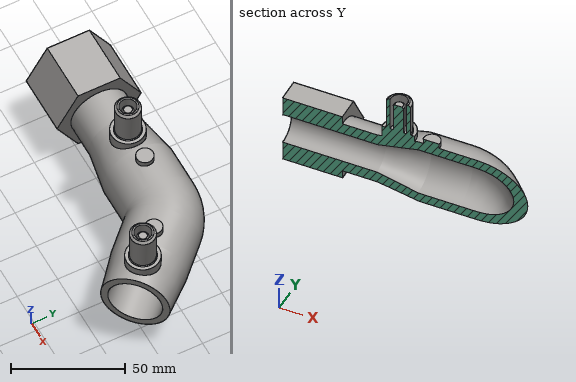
import cadquery as cq
import math

nut_length = 29
nut_across_flats = 36.0

neck_end = 45.8
taper_end = 65.7
straight_end = 85.7
neck_radius = 14.0
body_radius = 17.5
outlet_radius = 15.9
bend_radius = 18.1
bend_angle = 45
arm_segment = 20.0

inlet_bore_radius = 8.0
main_bore_radius = 12.5

flange_radius = 8.0
flange_top = 20.0
post_radius = 6.0
post_top = 37.1
post_chamfer = 1.1
foot_chamfer = 0.4
socket_radius = 4.0
pin_radius = 2.6
pin_chamfer = 0.7
pin_recess = 2.3
button_radius = 4.0
inlet_terminal_x = 56.0
inlet_button_x = 71.9
arm_terminal_distance = 28.7
arm_button_distance = 12.7

angle = math.radians(bend_angle)
arm_x = straight_end + bend_radius * math.sin(angle)
arm_y = -bend_radius * (1 - math.cos(angle))
arm_direction = (math.cos(angle), -math.sin(angle), 0)


def arm_point(distance):
    """Point in plan at a distance along the arm axis from the elbow."""
    return arm_x + distance * arm_direction[0], arm_y + distance * arm_direction[1]


def inlet_run(start, small_radius, large_radius):
    """Revolved run along X, widening between the neck and the straight body."""
    return (
        cq.Workplane("XY")
        .moveTo(start, 0)
        .lineTo(start, small_radius)
        .lineTo(neck_end, small_radius)
        .lineTo(taper_end, large_radius)
        .lineTo(straight_end, large_radius)
        .lineTo(straight_end, 0)
        .close()
        .revolve(360, (0, 0, 0), (1, 0, 0))
    )


def elbow(radius):
    """Bend in plan, turning from +X toward -Y."""
    return (
        cq.Workplane("YZ", origin=(straight_end, 0, 0))
        .circle(radius)
        .revolve(bend_angle, (-bend_radius, 1.4, 0), (-bend_radius, 0, 0))
    )


def arm_run(radius, end_radius):
    """Straight segment followed by a tapered segment of the same length."""
    arm_plane = cq.Plane(origin=(arm_x, arm_y, 0), xDir=arm_direction, normal=(0, 0, 1))
    return (
        cq.Workplane(arm_plane)
        .lineTo(0, radius)
        .lineTo(arm_segment, radius)
        .lineTo(2 * arm_segment, end_radius)
        .lineTo(2 * arm_segment, 0)
        .close()
        .revolve(360, (0, 0, 0), (1, 0, 0))
    )


def post(position):
    """Flanged terminal post, reaching down to the pipe axis."""
    flange = cq.Workplane("XY").center(*position).circle(flange_radius).extrude(flange_top)
    foot_radius = post_radius + foot_chamfer
    stem = (
        cq.Workplane("XZ")
        .lineTo(foot_radius, 0)
        .lineTo(foot_radius, flange_top)
        .lineTo(post_radius, flange_top + foot_chamfer)
        .lineTo(post_radius, post_top - post_chamfer)
        .lineTo(post_radius - post_chamfer, post_top)
        .lineTo(0, post_top)
        .close()
        .revolve(360, (0, 0, 0), (0, 1, 0))
        .translate((*position, 0))
    )
    return flange.union(stem)


def socket(position):
    """Annular recess of a terminal, leaving the contact pin in the middle."""
    recess = (
        cq.Workplane("XY", origin=(*position, flange_top))
        .circle(socket_radius)
        .extrude(post_top - flange_top)
    )
    pin = (
        cq.Workplane("XY", origin=(*position, flange_top))
        .circle(pin_radius)
        .extrude(post_top - pin_recess - flange_top)
        .faces(">Z")
        .chamfer(pin_chamfer)
    )
    return recess.cut(pin)


def button(position):
    return cq.Workplane("XY").center(*position).circle(button_radius).extrude(flange_top)


terminals = [(inlet_terminal_x, 0), arm_point(arm_terminal_distance)]
buttons = [(inlet_button_x, 0), arm_point(arm_button_distance)]

nut_corner_diameter = nut_across_flats / math.cos(math.radians(30))
result = cq.Workplane("YZ").polygon(6, nut_corner_diameter).extrude(nut_length)
result = result.union(inlet_run(nut_length, neck_radius, body_radius))
result = result.union(elbow(body_radius))
result = result.union(arm_run(body_radius, outlet_radius))

for place in terminals:
    result = result.union(post(place))
for place in buttons:
    result = result.union(button(place))

result = result.cut(inlet_run(0, inlet_bore_radius, main_bore_radius))
result = result.cut(elbow(main_bore_radius))
result = result.cut(arm_run(main_bore_radius, main_bore_radius))

for place in terminals:
    result = result.cut(socket(place))